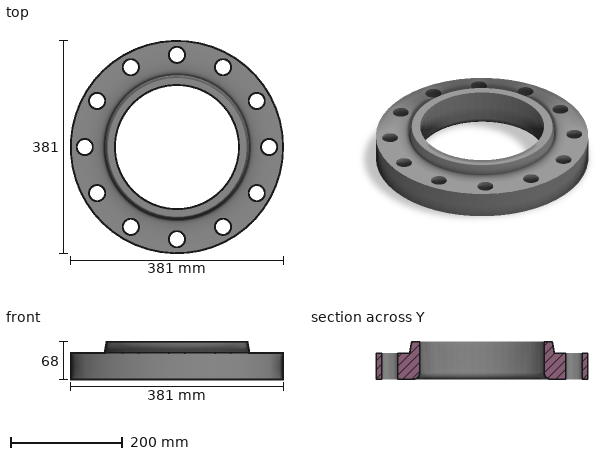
import cadquery as cq

flange_diameter = 381.0
flange_thickness = 47.5
overall_height = 68.0

bore_diameter = 222.0
bore_corner_radius = 12.5

hub_base_diameter = 260.0
hub_top_diameter = 253.0
hub_base_fillet = 1.5
hub_top_fillet = 1.5
hub_height = overall_height - flange_thickness

bolt_count = 12
bolt_circle_diameter = 330.2
bolt_hole_diameter = 28.5


def flange_ring():
    return cq.Workplane("XY").circle(flange_diameter / 2).extrude(flange_thickness)


def tapered_hub():
    return (
        cq.Workplane("XY", origin=(0, 0, flange_thickness))
        .circle(hub_base_diameter / 2)
        .workplane(offset=hub_height)
        .circle(hub_top_diameter / 2)
        .loft()
    )


def round_hub_edges(body):
    body = body.faces(">Z").edges().fillet(hub_top_fillet)
    flange_top_face = cq.selectors.NearestToPointSelector((0, 0, flange_thickness))
    hub_base_edge = cq.selectors.RadiusNthSelector(0)
    return body.faces(flange_top_face).edges(hub_base_edge).fillet(hub_base_fillet)


def cut_bore(body):
    bore = cq.Workplane("XY").circle(bore_diameter / 2).extrude(overall_height)
    bored = body.cut(bore)
    bore_bottom_edge = cq.selectors.RadiusNthSelector(0)
    return bored.faces("<Z").edges(bore_bottom_edge).fillet(bore_corner_radius)


def cut_bolt_holes(body):
    holes = (
        cq.Workplane("XY")
        .polarArray(bolt_circle_diameter / 2, 0, 360, bolt_count)
        .circle(bolt_hole_diameter / 2)
        .extrude(flange_thickness)
    )
    return body.cut(holes)


blank = round_hub_edges(flange_ring().union(tapered_hub()))
result = cut_bolt_holes(cut_bore(blank))